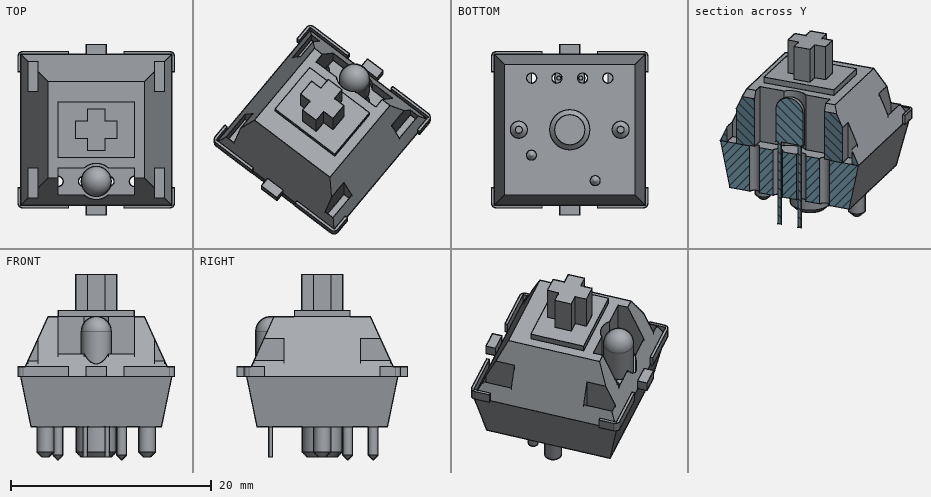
import cadquery as cq


total_height = 18.5

parting_width = 15.05
base_width = 13.0
roof_width = 9.6
base_z = -5.0
roof_z = 6.0

rim_height = 1.0
lip_outer = 15.6
lip_inner = 15.02
lip_corner_radius = 0.5
lip_gap_x = 5.51
lip_gap_y = 11.53
tab_width = 2.0
tab_outer = 16.98
tab_inner = 14.98

slot_size_x = 1.0
slot_size_y = 3.0
slot_x = 6.29
slot_y = 5.31

stem_plate_x = 7.6
stem_plate_y = 5.55
stem_plate_top = 6.6
stem_top = 10.2
cross_span = 4.1
cross_arm = 1.74

lamp_y = -5.15
lamp_diameter = 3.0
lamp_foot_z = 1.0
lamp_clearance_diameter = 3.6
bay_width = stem_plate_x
bay_depth = 2.7
lamp_leg_diameter = 0.4
lamp_leg_x = 1.1
leg_hole_diameter = 1.0
leg_hole_pitch = 2.53
leg_hole_count = 4

post_bottom = -8.0
post_chamfer = 0.5
centre_post_diameter = 4.0
side_post_diameter = 1.7
side_post_x = 5.07

pin_diameter = 1.0
pin_tip_z = stem_top - total_height
pin_cone_height = pin_diameter / 2
pin_places = [
    (-3.81, 2.53),
    (2.53, 5.07),
]


def box(x0, x1, y0, y1, z0, z1):
    return cq.Workplane("XY").box(x1 - x0, y1 - y0, z1 - z0, centered=False).translate((x0, y0, z0))


def cylinder(x, y, diameter, z0, z1):
    return cq.Workplane("XY", origin=(x, y, z0)).circle(diameter / 2).extrude(z1 - z0)


def square_frustum(width, z, end_width, end_z):
    return (
        cq.Workplane("XY", origin=(0, 0, z)).rect(width, width)
        .workplane(offset=end_z - z).rect(end_width, end_width)
        .loft(ruled=True)
    )


def leg_holes():
    """Row of four leg holes through the lower housing, under the lamp bay."""
    return (
        cq.Workplane("XY", origin=(0, lamp_y, base_z))
        .rarray(leg_hole_pitch, 0.18, leg_hole_count, 1)
        .circle(leg_hole_diameter / 2).extrude(-base_z)
    )


def make_post(x, diameter):
    return cylinder(x, 0, diameter, post_bottom, base_z).faces("<Z").chamfer(post_chamfer)


def make_lower_housing():
    body = square_frustum(base_width, base_z, parting_width, 0).cut(leg_holes())
    for x, diameter in [
        (0, centre_post_diameter),
        (-side_post_x, side_post_diameter),
        (side_post_x, side_post_diameter),
    ]:
        body = body.union(make_post(x, diameter))
    return body


def make_corner_lips():
    """Thin upright ring, interrupted in the middle of each side."""
    half = lip_outer / 2
    lips = cq.Workplane("XY").rect(lip_outer, lip_outer).extrude(rim_height)
    lips = lips.edges("|Z").fillet(lip_corner_radius)
    lips = lips.cut(cq.Workplane("XY").rect(lip_inner, lip_inner).extrude(rim_height))
    lips = lips.cut(box(-lip_gap_x / 2, lip_gap_x / 2, -half, half, 0, rim_height))
    return lips.cut(box(-half, half, -lip_gap_y / 2, lip_gap_y / 2, 0, rim_height))


def corner_slots():
    return (
        cq.Workplane("XY").rarray(2 * slot_x, 2 * slot_y, 2, 2)
        .rect(slot_size_x, slot_size_y).extrude(roof_z)
    )


def lamp_bay():
    """Rectangular opening with a round clearance for the lamp, down to the lower housing."""
    opening = cq.Workplane("XY", origin=(0, lamp_y, 0)).rect(bay_width, bay_depth).extrude(roof_z)
    return opening.union(cylinder(0, lamp_y, lamp_clearance_diameter, 0, roof_z))


def make_upper_housing():
    body = square_frustum(parting_width, 0, roof_width, roof_z)
    body = body.cut(corner_slots()).cut(lamp_bay())

    body = body.union(make_corner_lips())
    half_tab = tab_width / 2
    back_tab = box(-half_tab, half_tab, tab_inner / 2, tab_outer / 2, 0, rim_height)
    return body.union(back_tab).union(back_tab.mirror("XZ"))


def make_stem():
    plate = cq.Workplane("XY", origin=(0, 0, roof_z)).rect(stem_plate_x, stem_plate_y)
    stem = plate.extrude(stem_plate_top - roof_z)
    cross = cq.Workplane("XY", origin=(0, 0, stem_plate_top))
    for size_x, size_y in [(cross_span, cross_arm), (cross_arm, cross_span)]:
        stem = stem.union(cross.rect(size_x, size_y).extrude(stem_top - stem_plate_top))
    return stem


def make_lamp():
    dome_z = roof_z - lamp_diameter / 2
    lamp = cylinder(0, lamp_y, lamp_diameter, lamp_foot_z, dome_z)
    lamp = lamp.union(cq.Workplane("XY", origin=(0, lamp_y, dome_z)).sphere(lamp_diameter / 2))
    for x in (-lamp_leg_x, lamp_leg_x):
        lamp = lamp.union(cylinder(x, lamp_y, lamp_leg_diameter, post_bottom, lamp_foot_z))
    return lamp


def make_contact_pin(x, y):
    radius = pin_diameter / 2
    profile = (
        cq.Workplane("XZ").moveTo(0, base_z).lineTo(radius, base_z)
        .lineTo(radius, pin_tip_z + pin_cone_height).lineTo(0, pin_tip_z).close()
    )
    return profile.revolve(360, (0, 0, 0), (0, 1, 0)).translate((x, y, 0))


lower_housing = make_lower_housing()
upper_housing = make_upper_housing()
stem = make_stem()
lamp = make_lamp()
contact_pins = [make_contact_pin(x, y).val() for x, y in pin_places]

result = cq.Compound.makeCompound(
    [lower_housing.val(), upper_housing.val(), stem.val(), lamp.val(), *contact_pins]
)